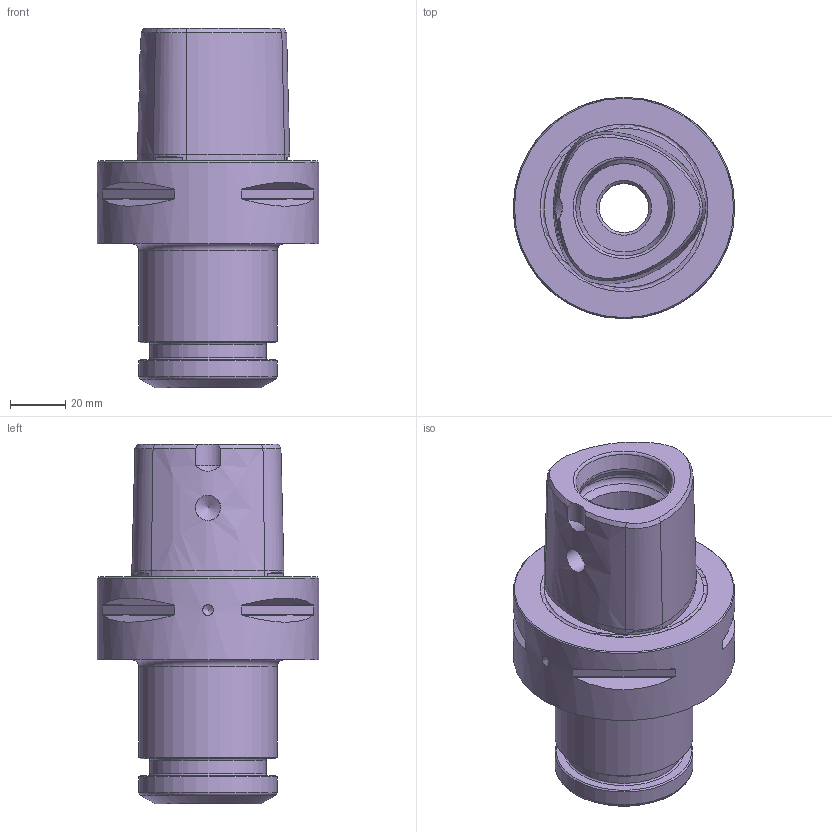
import cadquery as cq
import math

taper_length = 48.0
flange_thickness = 30.0
total_length = 130.0
bottom_z = taper_length - total_length

lobe_count = 3
mean_radius = 27.5
lobe_height = 2.0
taper_slope = 1 / 40
straight_height = 2.2
tip_height = 1.6
tip_inset = 0.9
lobe_half_angle = 26.0
points_per_curve = 9

foot_groove_inner_radius = 28.8
foot_groove_outer_radius = 30.3
foot_groove_depth = 0.5
foot_relief_height = 1.1

flange_radius = 40.0
flange_edge = 0.4
body_radius = 25.0
body_edge = 0.5
root_fillet = 2.3
neck_radius = 21.0
neck_fillet = 0.6
neck_top_z = -65.6
neck_bottom_z = -71.75
nose_radius = 19.0
nose_angle = 30.0
nose_fillet = 1.2

grip_z = -12.0
grip_count = 4
grip_first_angle = 45.0
grip_floor_distance = 35.5
grip_floor_width = 3.5
grip_flank_angle = 30.0
grip_floor_fillet = 0.4
dimple_diameter = 4.0

flank_hole_diameter = 9.1
flank_hole_z = 25.0
flank_hole_depth = 6.0
notch_diameter = 12.0
notch_axis_x = -28.2
notch_depth = 7.85
notch_point_angle = 100.0
drill_point_angle = 118.0

bore_mouth_fillet = 0.9
bore_cone_radius = 17.45
bore_radius = 16.0
bore_relief_radius = 16.5
bore_cone_depth = 6.2
bore_depth = 7.2
bore_relief_depth = 9.0
bore_groove_radius = 19.0
bore_groove_fillet = 3.2
bore_groove_end_depth = 16.3
bore_groove_cone_angle = 45.0
bore_floor_depth = 28.0
through_radius = 17.84 / 2
through_chamfer = 1.0


def lobed_point(mean, height, angle):
    """Point and tangent of the lobed outline where its normal has the given angle."""
    support = mean + lobe_height * math.cos(lobe_count * angle)
    slope = -lobe_count * lobe_height * math.sin(lobe_count * angle)
    c, s = math.cos(angle), math.sin(angle)
    point = cq.Vector(support * c - slope * s, support * s + slope * c, height)
    return point, cq.Vector(-s, c, 0)


def lobed_wire(mean, height):
    """Closed lobed outline at one height, split where the lobes meet the flanks."""
    pitch = 2 * math.pi / lobe_count
    half = math.radians(lobe_half_angle)
    edges = []
    for lobe in range(lobe_count):
        axis = lobe * pitch
        for start, end in ((axis - half, axis + half), (axis + half, axis + pitch - half)):
            step = (end - start) / (points_per_curve - 1)
            samples = [lobed_point(mean, height, start + i * step) for i in range(points_per_curve)]
            points = [point for point, _ in samples]
            edges.append(cq.Edge.makeSpline(points, tangents=[samples[0][1], samples[-1][1]]))
    return cq.Wire.assembleEdges(edges)


def taper_shank():
    """Straight foot, taper and end chamfer of the lobed shank."""
    tip_z = taper_length - tip_height
    tip_mean = mean_radius - taper_slope * (tip_z - straight_height)
    sections = [
        lobed_wire(mean_radius, -foot_groove_depth),
        lobed_wire(mean_radius, straight_height),
        lobed_wire(tip_mean, tip_z),
        lobed_wire(tip_mean - tip_inset, taper_length),
    ]
    return cq.Workplane(cq.Solid.makeLoft(sections, True))


def turned_body():
    """Flange, cylindrical body, neck groove and conical nose as one revolved profile."""
    flange_bottom = -flange_thickness
    slope = math.radians(nose_angle)
    nose_rise = (body_radius - nose_radius) * math.tan(slope)
    nose_corner_z = bottom_z + nose_rise
    tangent_length = nose_fillet * math.tan((math.pi / 2 - slope) / 2)
    nose_fillet_end = (
        body_radius - tangent_length * math.cos(slope),
        nose_corner_z - tangent_length * math.sin(slope),
    )
    return (
        cq.Workplane("XZ")
        .polyline([
            (0, 0),
            (flange_radius - flange_edge, 0),
            (flange_radius, -flange_edge),
            (flange_radius, flange_bottom),
            (body_radius + root_fillet, flange_bottom),
        ])
        .radiusArc((body_radius, flange_bottom - root_fillet), -root_fillet)
        .lineTo(body_radius, neck_top_z + body_edge)
        .lineTo(body_radius - body_edge, neck_top_z)
        .lineTo(neck_radius + neck_fillet, neck_top_z)
        .radiusArc((neck_radius, neck_top_z - neck_fillet), -neck_fillet)
        .lineTo(neck_radius, neck_bottom_z + neck_fillet)
        .radiusArc((neck_radius + neck_fillet, neck_bottom_z), -neck_fillet)
        .lineTo(body_radius - body_edge, neck_bottom_z)
        .lineTo(body_radius, neck_bottom_z - body_edge)
        .lineTo(body_radius, nose_corner_z + tangent_length)
        .radiusArc(nose_fillet_end, nose_fillet)
        .lineTo(nose_radius, bottom_z)
        .lineTo(0, bottom_z)
        .close()
        .revolve(360, (0, 0, 0), (0, 1, 0))
    )


def foot_groove():
    """Ring that cuts a round-bottomed groove in the flange and undercuts the lobes above it."""
    flare = foot_groove_outer_radius - foot_groove_inner_radius
    middle = (foot_groove_inner_radius + foot_groove_outer_radius) / 2
    return (
        cq.Workplane("XZ")
        .moveTo(foot_groove_inner_radius, 0)
        .lineTo(foot_groove_inner_radius, foot_relief_height)
        .lineTo(foot_groove_outer_radius, foot_relief_height + flare)
        .lineTo(foot_groove_outer_radius, 0)
        .threePointArc((middle, -foot_groove_depth), (foot_groove_inner_radius, 0))
        .close()
        .revolve(360, (0, 0, 0), (0, 1, 0))
    )


def stepped_bore():
    """Bore from the free end: rounded mouth, cone, internal groove, floor and through hole."""
    top = taper_length
    floor_z = top - bore_floor_depth
    groove_end_z = top - bore_groove_end_depth
    cone_angle = math.radians(bore_groove_cone_angle)
    fillet_drop = bore_groove_fillet * math.sin(cone_angle)
    fillet_inset = bore_groove_fillet * (1 - math.cos(cone_angle))
    cone_rise = (bore_groove_radius - fillet_inset - bore_radius) / math.tan(cone_angle)
    fillet_start_z = groove_end_z + cone_rise + fillet_drop
    return (
        cq.Workplane("XZ")
        .moveTo(0, top)
        .lineTo(bore_cone_radius + bore_mouth_fillet, top)
        .radiusArc((bore_cone_radius, top - bore_mouth_fillet), -bore_mouth_fillet)
        .lineTo(bore_radius, top - bore_cone_depth)
        .lineTo(bore_radius, top - bore_depth)
        .lineTo(bore_relief_radius, top - bore_relief_depth)
        .lineTo(bore_groove_radius, top - bore_relief_depth)
        .lineTo(bore_groove_radius, fillet_start_z)
        .radiusArc((bore_groove_radius - fillet_inset, fillet_start_z - fillet_drop), bore_groove_fillet)
        .lineTo(bore_radius, groove_end_z)
        .lineTo(bore_radius, floor_z)
        .lineTo(through_radius + through_chamfer, floor_z)
        .lineTo(through_radius, floor_z - through_chamfer)
        .lineTo(through_radius, bottom_z)
        .lineTo(0, bottom_z)
        .close()
        .revolve(360, (0, 0, 0), (0, 1, 0))
    )


def drill(diameter, straight_depth, point_angle=drill_point_angle):
    """Drill along -Z: full diameter from Z = 0 down to the straight depth, then a conical point."""
    radius = diameter / 2
    point = radius / math.tan(math.radians(point_angle / 2))
    return (
        cq.Workplane("XZ")
        .polyline([
            (0, diameter),
            (radius, diameter),
            (radius, -straight_depth),
            (0, -straight_depth - point),
        ])
        .close()
        .revolve(360, (0, 0, 0), (0, 1, 0))
    )


def side_drill(diameter, straight_depth, surface_x, height):
    """Drill entering the part along +X from the -X side."""
    return (
        drill(diameter, straight_depth)
        .rotate((0, 0, 0), (0, 1, 0), -90)
        .translate((surface_x, 0, height))
    )


def grip_groove(angle):
    """Tangential groove with a flat floor and flaring flanks."""
    floor_half = grip_floor_width / 2
    depth = flange_radius - grip_floor_distance
    mouth_half = floor_half + depth * math.tan(math.radians(grip_flank_angle))
    return (
        cq.Workplane("XZ")
        .polyline([
            (grip_floor_distance, grip_z - floor_half),
            (flange_radius, grip_z - mouth_half),
            (flange_radius, grip_z + mouth_half),
            (grip_floor_distance, grip_z + floor_half),
        ])
        .close()
        .extrude(flange_radius, both=True)
        .faces("<X")
        .edges("|Y")
        .fillet(grip_floor_fillet)
        .rotate((0, 0, 0), (0, 0, 1), angle)
    )


flank_x = -(mean_radius - lobe_height - taper_slope * (flank_hole_z - straight_height))

result = turned_body().union(taper_shank())
result = result.cut(foot_groove())
result = result.cut(stepped_bore())
for index in range(grip_count):
    result = result.cut(grip_groove(grip_first_angle + index * 360 / grip_count))
result = result.cut(side_drill(dimple_diameter, 0, -flange_radius, grip_z))
result = result.cut(side_drill(flank_hole_diameter, flank_hole_depth, flank_x, flank_hole_z))
notch = drill(notch_diameter, notch_depth, notch_point_angle)
notch = notch.translate((notch_axis_x, 0, taper_length))
result = result.cut(notch)